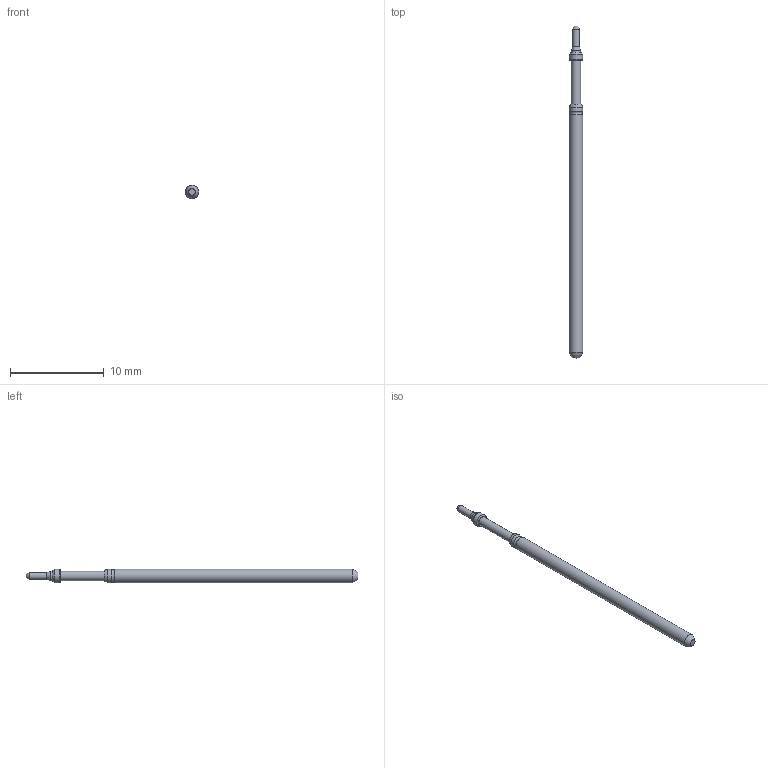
import cadquery as cq
import math


barrel_radius = 0.71
barrel_end_radius = 0.36
barrel_mouth_radius = 0.62
crimp_radius = 0.63
shaft_radius = 0.49
neck_radius = 0.50
collar_radius = barrel_radius
collar_front_radius = 0.58
tip_radius = 0.37
nose_flat_radius = 0.12
collar_back_fillet = 0.12

total_length = 35.4
barrel_length = 27.05
barrel_end_length = 0.6
mouth_length = 0.34
mouth_to_crimp = 0.42
crimp_width = 0.34
shaft_length = 4.7
collar_length = 0.65
collar_front_length = 0.18
neck_length = 0.22
tip_cone_length = 0.4
nose_length = 0.36

barrel_end_bulge = 0.05
barrel_mouth_bulge = 0.022
nose_bulge = 0.04

mouth_start = barrel_length - mouth_length
crimp_front = mouth_start - mouth_to_crimp
collar_back = barrel_length + shaft_length
collar_front = collar_back + collar_length
neck_start = collar_front + collar_front_length
neck_end = neck_start + neck_length
tip_start = neck_end + tip_cone_length
nose_start = total_length - nose_length


def arc_middle(start, end, sagitta):
    """Point on the arc from start to end, bulging to the right of the direction of travel."""
    run = end[0] - start[0]
    rise = end[1] - start[1]
    chord = math.hypot(run, rise)
    middle_radius = (start[0] + end[0]) / 2 + sagitta * rise / chord
    middle_station = (start[1] + end[1]) / 2 - sagitta * run / chord
    return (middle_radius, middle_station)


def revolve_profile(profile):
    """Turn a closed (radius, station) profile about the Y axis."""
    return profile.close().revolve(360, (0, 0, 0), (0, 1, 0))


def make_barrel():
    end_edge = (barrel_end_radius, 0)
    wall_edge = (barrel_radius, barrel_end_length)
    mouth_edge = (barrel_radius, mouth_start)
    mouth_rim = (barrel_mouth_radius, barrel_length)
    profile = (
        cq.Workplane("XY")
        .lineTo(*end_edge)
        .threePointArc(arc_middle(end_edge, wall_edge, barrel_end_bulge), wall_edge)
        .lineTo(*mouth_edge)
        .threePointArc(arc_middle(mouth_edge, mouth_rim, barrel_mouth_bulge), mouth_rim)
        .lineTo(0, barrel_length)
    )
    return revolve_profile(profile)


def make_crimp_groove():
    """Shallow rolled groove of circular section around the barrel mouth."""
    crimp_back = crimp_front - crimp_width
    crimp_middle = (crimp_front + crimp_back) / 2
    clearance_radius = barrel_radius + crimp_width
    profile = (
        cq.Workplane("XY")
        .moveTo(barrel_radius, crimp_back)
        .threePointArc((crimp_radius, crimp_middle), (barrel_radius, crimp_front))
        .lineTo(clearance_radius, crimp_front)
        .lineTo(clearance_radius, crimp_back)
    )
    return revolve_profile(profile)


def make_plunger():
    """Shaft, collar, neck and blunt, round-edged tip; starts at the barrel mouth."""
    fillet_middle = collar_back_fillet * (1 - math.sqrt(0.5))
    nose_edge = (tip_radius, nose_start)
    nose_rim = (nose_flat_radius, total_length)
    profile = (
        cq.Workplane("XY")
        .moveTo(0, barrel_length)
        .lineTo(shaft_radius, barrel_length)
        .lineTo(shaft_radius, collar_back)
        .lineTo(collar_radius - collar_back_fillet, collar_back)
        .threePointArc(
            (collar_radius - fillet_middle, collar_back + fillet_middle),
            (collar_radius, collar_back + collar_back_fillet),
        )
        .lineTo(collar_radius, collar_front)
        .lineTo(collar_front_radius, neck_start)
        .lineTo(neck_radius, neck_start)
        .lineTo(neck_radius, neck_end)
        .lineTo(tip_radius, tip_start)
        .lineTo(*nose_edge)
        .threePointArc(arc_middle(nose_edge, nose_rim, nose_bulge), nose_rim)
        .lineTo(0, total_length)
    )
    return revolve_profile(profile)


result = make_barrel().cut(make_crimp_groove()).union(make_plunger())